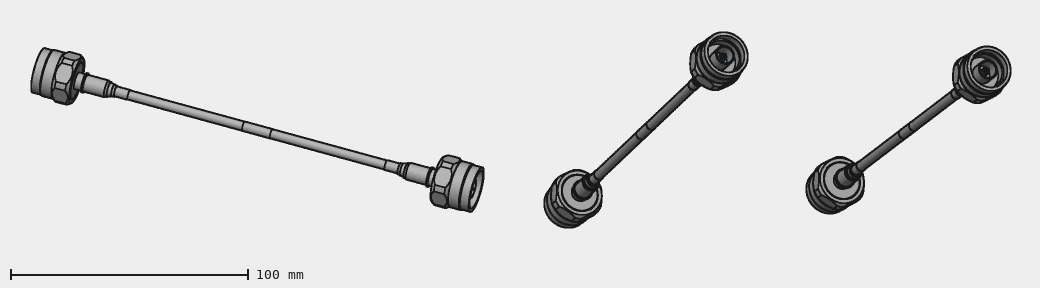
import cadquery as cq
import math

OVERALL_LENGTH = 195.46
CONNECTOR_LENGTH = 40.3

CABLE_RADIUS = 2.05
BAND_RADIUS = 2.1
BAND_LENGTH = 12.4

NUT_FRONT_RADIUS = 9.75
COLLAR_RADIUS = 10.1
COLLAR_START = 3.8
COLLAR_BEVEL = 0.5
HEX_START = 9.1
HEX_END = 17.0
HEX_ACROSS_FLATS = 20.28
HEX_CORNER_RADIUS = 10.95
HEX_CHAMFER_LENGTH = 1.6
HEX_CHAMFER_HEIGHT = 1.1

MOUTH_RADIUS = 8.2
LAND_RADIUS = 7.4
LAND_START = 4.2
LAND_END = 9.0

FLANGE_CLEARANCE = 0.3
FLANGE_RADIUS = MOUTH_RADIUS - FLANGE_CLEARANCE

CONTACT_TIP = 1.4
SHIELD_OUTER_RADIUS = 4.1
SHIELD_INNER_RADIUS = 3.6
PIN_TIP_RADIUS = 0.8
PIN_TIP_BEVEL = 0.5
PIN_BASE_RADIUS = 1.5
PIN_SHOULDER = 3.6

SLEEVE_RADIUS = 3.7
SLEEVE_END = 30.3
RIDGE_RADIUS = 4.25
RIDGE_START = 20.3
RIDGE_END = 21.0
LARGE_TAPER_RADII = (3.45, 3.3)
LARGE_TAPER_END = 31.4
SMALL_TAPER_RADII = (3.05, 2.75)
SMALL_TAPER_END = 33.2
STEP_RADIUS = 2.5
STEP_END = 34.4
TAIL_RADIUS = 2.2


def turned(profile):
    """Revolve a closed (x, radius) outline about the X axis."""
    return cq.Workplane("XY").polyline(profile).close().revolve(360, (0, 0, 0), (1, 0, 0))


def rod(start, end, radius):
    """Round bar along X."""
    return cq.Workplane("YZ").workplane(offset=start).circle(radius).extrude(end - start)


def nut_collar():
    """Round front part of the nut with its slightly larger collar."""
    return turned([
        (0, 0),
        (0, NUT_FRONT_RADIUS),
        (COLLAR_START, NUT_FRONT_RADIUS),
        (COLLAR_START + COLLAR_BEVEL, COLLAR_RADIUS),
        (HEX_START, COLLAR_RADIUS),
        (HEX_START, 0),
    ])


def nut_hexagon():
    """Hexagon with flats facing +Y and -Y, corners turned round and both ends chamfered."""
    across_corners = HEX_ACROSS_FLATS / math.cos(math.pi / 6)
    hexagon = (
        cq.Workplane("YZ")
        .workplane(offset=HEX_START)
        .transformed(rotate=(0, 0, 30))
        .polygon(6, across_corners)
        .extrude(HEX_END - HEX_START)
    )
    end_radius = HEX_CORNER_RADIUS - HEX_CHAMFER_HEIGHT
    envelope = turned([
        (HEX_START, 0),
        (HEX_START, end_radius),
        (HEX_START + HEX_CHAMFER_LENGTH, HEX_CORNER_RADIUS),
        (HEX_END - HEX_CHAMFER_LENGTH, HEX_CORNER_RADIUS),
        (HEX_END, end_radius),
        (HEX_END, 0),
    ])
    return hexagon.intersect(envelope)


def coupling_nut():
    """Nut with its mating end at X = 0 and its stepped bore running right through."""
    mouth = rod(0, LAND_START, MOUTH_RADIUS)
    land = rod(LAND_START, LAND_END, LAND_RADIUS)
    rear_bore = rod(LAND_END, HEX_END, MOUTH_RADIUS)
    return nut_collar().union(nut_hexagon()).cut(mouth).cut(land).cut(rear_bore)


def shield_contact():
    """Tubular outer contact."""
    tube = rod(CONTACT_TIP, LAND_END, SHIELD_OUTER_RADIUS)
    return tube.cut(rod(CONTACT_TIP, LAND_END, SHIELD_INNER_RADIUS))


def centre_pin():
    """Stepped centre pin with a bevelled tip."""
    tip = rod(CONTACT_TIP, PIN_SHOULDER, PIN_TIP_RADIUS).faces("<X").chamfer(PIN_TIP_BEVEL)
    return tip.union(rod(PIN_SHOULDER, LAND_END, PIN_BASE_RADIUS))


def flange_and_sleeve():
    """Flange against the land of the nut, then the ridged sleeve stepping down to the cable."""
    return turned([
        (LAND_END, 0),
        (LAND_END, FLANGE_RADIUS),
        (HEX_END, FLANGE_RADIUS),
        (HEX_END, SLEEVE_RADIUS),
        (RIDGE_START, SLEEVE_RADIUS),
        (RIDGE_START, RIDGE_RADIUS),
        (RIDGE_END, RIDGE_RADIUS),
        (RIDGE_END, SLEEVE_RADIUS),
        (SLEEVE_END, SLEEVE_RADIUS),
        (SLEEVE_END, LARGE_TAPER_RADII[0]),
        (LARGE_TAPER_END, LARGE_TAPER_RADII[1]),
        (LARGE_TAPER_END, SMALL_TAPER_RADII[0]),
        (SMALL_TAPER_END, SMALL_TAPER_RADII[1]),
        (SMALL_TAPER_END, STEP_RADIUS),
        (STEP_END, STEP_RADIUS),
        (STEP_END, TAIL_RADIUS),
        (CONNECTOR_LENGTH, TAIL_RADIUS),
        (CONNECTOR_LENGTH, 0),
    ])


def connector_body():
    """Contacts, flange and cable sleeve in one piece, with stations as in the nut."""
    return flange_and_sleeve().union(shield_contact()).union(centre_pin())


def cable():
    """Cable between the two connector tails, with a slightly thicker band at mid-length."""
    half_length = OVERALL_LENGTH / 2 - CONNECTOR_LENGTH
    band = rod(-BAND_LENGTH / 2, BAND_LENGTH / 2, BAND_RADIUS)
    return rod(-half_length, half_length, CABLE_RADIUS).union(band)


def at_both_ends(part):
    """Two copies of a connector part: one at the -X end and one turned round at the +X end."""
    left = part.translate((-OVERALL_LENGTH / 2, 0, 0))
    return [left.rotate((0, 0, 0), (0, 0, 1), angle).val() for angle in (0, 180)]


coupling_nuts = at_both_ends(coupling_nut())
connector_bodies = at_both_ends(connector_body())

result = cq.Compound.makeCompound([cable().val(), *coupling_nuts, *connector_bodies])